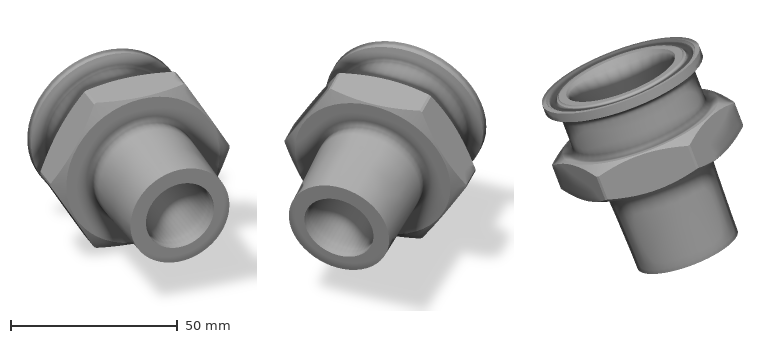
import cadquery as cq
import math

total_length = 58.74
rim_width = 2.87
hex_start = 17.3
hex_end = 29.93
taper_length = 25.0
taper_start = total_length - taper_length

ferrule_radius = 50.39 / 2
ferrule_back_angle = math.radians(20)
neck_radius = 42.57 / 2
ferrule_fillet = 1.0
shoulder_fillet = 1.5

across_flats = 50.8
corner_radius = 58.17 / 2
corner_chamfer_angle = math.radians(30)
corner_chamfer_width = 2.4

pipe_radius = 33.7 / 2
pipe_end_radius = pipe_radius - taper_length / 16 / 2

bore_radius = 22.1 / 2
funnel_mouth_radius = 34.8 / 2
funnel_depth = 12.7
funnel_blend_radius = 6.35

groove_radius = 43.6 / 2
groove_depth = 1.6
groove_wall_angle = math.radians(67)
groove_floor_radius = 1.13
groove_lip_radius = 0.87


def revolve_about_x(profile):
    """Close a profile drawn as (x, radius) and turn it around the X axis."""
    return profile.close().revolve(360, (0, 0, 0), (1, 0, 0))


def turned_body():
    """Ferrule, neck, hexagon core and tapered pipe end as one turned piece."""
    slope_end = rim_width + (ferrule_radius - neck_radius) * math.tan(ferrule_back_angle)
    fillet_setback = ferrule_fillet * math.tan((math.pi / 2 - ferrule_back_angle) / 2)
    fillet_start = (
        slope_end - fillet_setback * math.sin(ferrule_back_angle),
        neck_radius + fillet_setback * math.cos(ferrule_back_angle),
    )
    fillet_end = (slope_end + fillet_setback, neck_radius)
    profile = (
        cq.Workplane("XY")
        .lineTo(0, ferrule_radius)
        .lineTo(rim_width, ferrule_radius)
        .lineTo(*fillet_start)
        .radiusArc(fillet_end, -ferrule_fillet)
        .lineTo(hex_start - shoulder_fillet, neck_radius)
        .radiusArc((hex_start, neck_radius + shoulder_fillet), -shoulder_fillet)
        .lineTo(hex_end, neck_radius + shoulder_fillet)
        .lineTo(hex_end, pipe_radius + shoulder_fillet)
        .radiusArc((hex_end + shoulder_fillet, pipe_radius), -shoulder_fillet)
        .lineTo(taper_start, pipe_radius)
        .lineTo(total_length, pipe_end_radius)
        .lineTo(total_length, 0)
    )
    return revolve_about_x(profile)


def hexagon():
    """Hexagon with flats facing +Z and -Z, its corners turned down and chamfered."""
    corner_diameter = across_flats / math.cos(math.pi / 6)
    prism = (
        cq.Workplane("YZ", origin=(hex_start, 0, 0))
        .polygon(6, corner_diameter)
        .extrude(hex_end - hex_start)
    )
    face_radius = corner_radius - corner_chamfer_width / math.tan(corner_chamfer_angle)
    envelope = (
        cq.Workplane("XY")
        .moveTo(hex_start, 0)
        .lineTo(hex_start, face_radius)
        .lineTo(hex_start + corner_chamfer_width, corner_radius)
        .lineTo(hex_end - corner_chamfer_width, corner_radius)
        .lineTo(hex_end, face_radius)
        .lineTo(hex_end, 0)
    )
    return prism.intersect(revolve_about_x(envelope))


def bore():
    """Funnel, rounded transition and straight hole through the whole part."""
    funnel_angle = math.atan2(funnel_mouth_radius - bore_radius, funnel_depth)
    blend_setback = funnel_blend_radius * math.tan(funnel_angle / 2)
    blend_start = (
        funnel_depth - blend_setback * math.cos(funnel_angle),
        bore_radius + blend_setback * math.sin(funnel_angle),
    )
    blend_end = (funnel_depth + blend_setback, bore_radius)
    profile = (
        cq.Workplane("XY")
        .lineTo(0, funnel_mouth_radius)
        .lineTo(*blend_start)
        .radiusArc(blend_end, -funnel_blend_radius)
        .lineTo(total_length, bore_radius)
        .lineTo(total_length, 0)
    )
    return revolve_about_x(profile)


def gasket_groove():
    """Ring that cuts the gasket groove."""
    lip_depth = groove_lip_radius * (1 - math.cos(groove_wall_angle))
    floor_rise = groove_floor_radius * (1 - math.cos(groove_wall_angle))
    wall_bottom = groove_depth - floor_rise
    floor_half_width = groove_floor_radius * math.sin(groove_wall_angle)
    wall_half_width = floor_half_width + (wall_bottom - lip_depth) / math.tan(groove_wall_angle)
    mouth_half_width = wall_half_width + groove_lip_radius * math.sin(groove_wall_angle)
    profile = (
        cq.Workplane("XY")
        .moveTo(0, groove_radius - mouth_half_width)
        .radiusArc((lip_depth, groove_radius - wall_half_width), -groove_lip_radius)
        .lineTo(wall_bottom, groove_radius - floor_half_width)
        .threePointArc((groove_depth, groove_radius), (wall_bottom, groove_radius + floor_half_width))
        .lineTo(lip_depth, groove_radius + wall_half_width)
        .radiusArc((0, groove_radius + mouth_half_width), -groove_lip_radius)
    )
    return revolve_about_x(profile)


result = turned_body().union(hexagon()).cut(bore()).cut(gasket_groove())